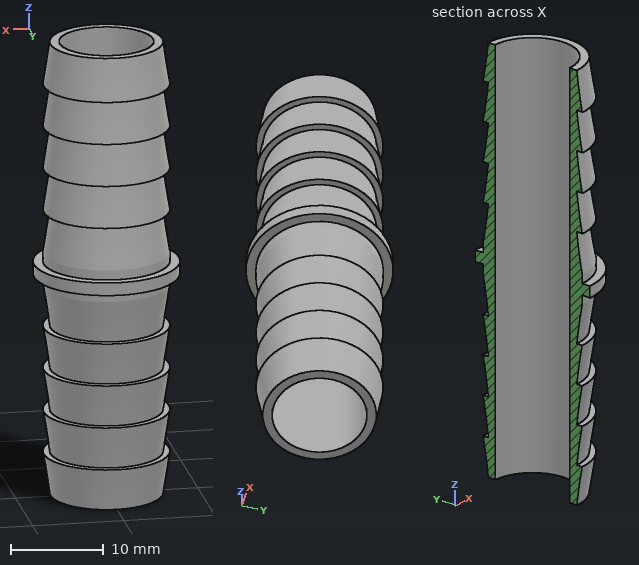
import cadquery as cq

total_length = 51.05
flange_diameter = 15.9
flange_thickness = 1.45
barb_tip_diameter = 12.25
barb_crest_diameter = 13.75
bore_diameter = 10.2
barb_count = 5
barb_pitch = 4.75

half_length = total_length / 2
flange_radius = flange_diameter / 2
tip_radius = barb_tip_diameter / 2
crest_radius = barb_crest_diameter / 2
half_flange = flange_thickness / 2


def half_profile():
    """Return (radius, z) points from the hose end down to the mid-plane."""
    points = [(0, half_length)]
    for index in range(barb_count):
        top = half_length - index * barb_pitch
        points.append((tip_radius, top))
        points.append((crest_radius, top - barb_pitch))
    points.append((crest_radius, half_flange))
    points.append((flange_radius, half_flange))
    return points


upper = half_profile()
lower = [(radius, -z) for radius, z in reversed(upper)]

body = cq.Workplane("XZ").polyline(upper + lower).close().revolve(360, (0, 0, 0), (0, 1, 0))

bore = cq.Workplane("XY").circle(bore_diameter / 2).extrude(half_length, both=True)
result = body.cut(bore)